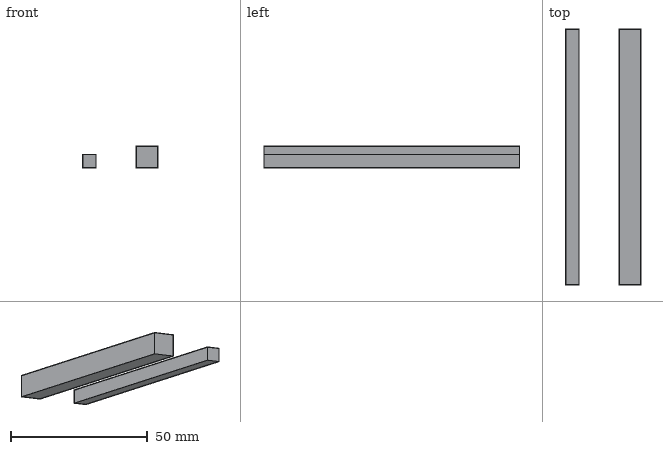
import cadquery as cq

bar_length = 93.6
overall_width = 27.6
thin_side = 5.0
thick_side = 8.0


def square_bar(side, left_x):
    """Square bar along Y, resting on Z = 0, with its left side at left_x."""
    return (
        cq.Workplane("XY")
        .box(side, bar_length, side, centered=(False, True, False))
        .translate((left_x, 0, 0))
    )


thin_bar = square_bar(thin_side, -overall_width / 2)
thick_bar = square_bar(thick_side, overall_width / 2 - thick_side)

result = cq.Compound.makeCompound([thin_bar.val(), thick_bar.val()])